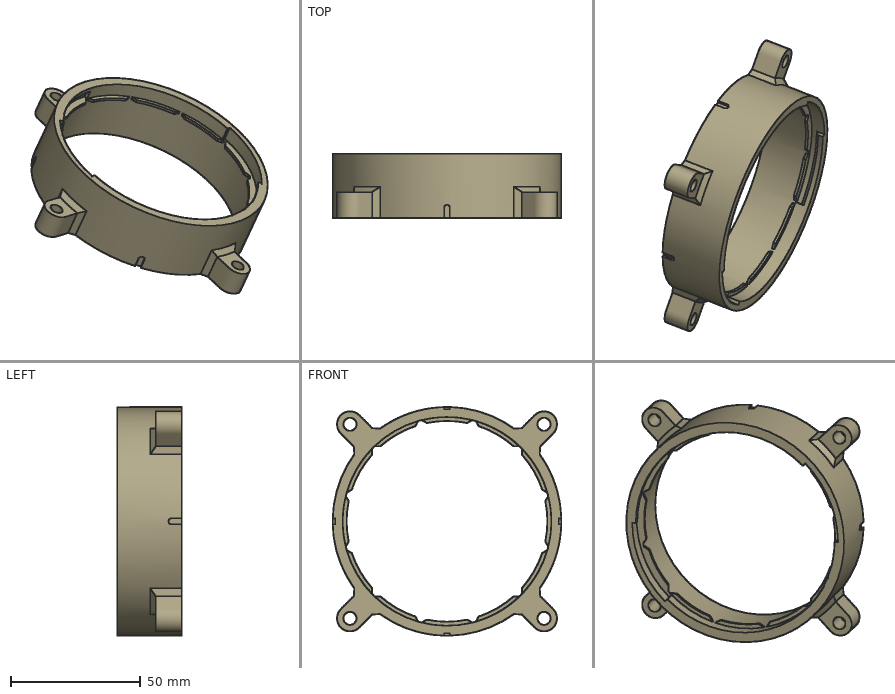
import cadquery as cq
import math

outer_radius = 44.25
inner_radius = 40.4
ring_length = 25.0
wall_middle = (inner_radius + outer_radius) / 2

lug_count = 4
lug_first_angle = 45.0
hole_spacing = 75.05
lug_radius = 5.05
lug_hole_diameter = 5.0
lug_length = 10.1
lug_root_chamfer = 2.0
hole_circle_radius = hole_spacing / math.sqrt(2)

notch_count = 4
notch_width = 2.3
notch_length = 5.1
notch_depth = 1.0

rim_radius = 38.8
rim_thickness = 1.1
rim_gap_square = 58.0
rim_square_count = 3
entry_length = 5.6
rim_back = ring_length - entry_length
rim_front = rim_back - rim_thickness

track_count = 2
track_radius = 41.8
track_depth = track_radius - inner_radius
groove_length = 3.5
entry_sweep = 47.0
groove_sweep = 45.0

cut_margin = 0.9
root_margin = 0.9


def cylinder(radius, start, end):
    """Solid cylinder along Y between two stations."""
    return cq.Workplane("XZ", origin=(0, start, 0)).circle(radius).extrude(start - end)


def around_axis(shape, count, first_angle=0.0):
    """Copies of a shape spaced evenly about Y, positive from +X toward +Z."""
    copies = cq.Workplane("XZ")
    for index in range(count):
        angle = first_angle + index * 360.0 / count
        copies = copies.add(shape.rotate((0, 0, 0), (0, 1, 0), -angle).vals())
    return copies.combine()


def make_lug():
    """Round-ended arm pointing along +X, rooted inside the ring wall."""
    arm_length = hole_circle_radius - wall_middle
    arm = (
        cq.Workplane("XZ")
        .center(wall_middle + arm_length / 2, 0)
        .rect(arm_length, 2 * lug_radius)
        .extrude(-lug_length)
    )
    boss = cq.Workplane("XZ").center(hole_circle_radius, 0).circle(lug_radius).extrude(-lug_length)
    return arm.union(boss)


def make_body():
    """Ring blank with lugs, chamfered where each lug meets the outer wall."""
    body = cylinder(outer_radius, 0, ring_length).union(around_axis(make_lug(), lug_count))
    root_zone = cq.selectors.BoxSelector(
        (outer_radius - root_margin, root_margin, -lug_radius - root_margin),
        (outer_radius + root_margin, lug_length + root_margin, lug_radius + root_margin),
    )
    for _ in range(lug_count):
        body = body.edges(root_zone).chamfer(lug_root_chamfer)
        body = body.rotate((0, 0, 0), (0, 1, 0), 360.0 / lug_count)
    return body.rotate((0, 0, 0), (0, 1, 0), -lug_first_angle)


def make_lug_hole():
    """Through hole for a lug pointing along +X."""
    return (
        cq.Workplane("XZ")
        .center(hole_circle_radius, 0)
        .circle(lug_hole_diameter / 2)
        .extrude(-lug_length)
    )


def make_notch():
    """Slot open at the front face, cut into the wall from +X."""
    straight_length = notch_length - notch_width / 2
    return (
        cq.Workplane("YZ", origin=(outer_radius - notch_depth, 0, 0))
        .moveTo(0, -notch_width / 2)
        .lineTo(straight_length, -notch_width / 2)
        .threePointArc((notch_length, 0), (straight_length, notch_width / 2))
        .lineTo(0, notch_width / 2)
        .close()
        .extrude(notch_depth + cut_margin)
    )


def make_rim():
    """Inward rim split into teeth by the corners of rotated squares."""
    rim = cylinder(wall_middle, rim_front, rim_back).cut(cylinder(rim_radius, rim_front, rim_back))
    square = (
        cq.Workplane("XZ", origin=(0, rim_front, 0))
        .rect(rim_gap_square, rim_gap_square)
        .extrude(-rim_thickness)
    )
    for index in range(rim_square_count):
        angle = index * 90.0 / rim_square_count
        rim = rim.cut(square.rotate((0, 0, 0), (0, 1, 0), angle))
    wall = cylinder(outer_radius, rim_front, rim_back).cut(cylinder(inner_radius, rim_front, rim_back))
    return rim.union(wall)


def swept_track(profile, start_angle, sweep):
    """Revolve a (radius, y) profile about Y through a sweep toward +Z."""
    solid = cq.Workplane("XY").polyline(profile).close().revolve(sweep, (0, 0, 0), (0, -1, 0))
    return solid.rotate((0, 0, 0), (0, 1, 0), -start_angle)


def make_track():
    """Entry opening to the back face, ending at +X, then a groove with a sloped back wall."""
    root = inner_radius - cut_margin
    groove_back = rim_back + groove_length
    entry = [
        (root, rim_back),
        (track_radius, rim_back),
        (track_radius, ring_length),
        (root, ring_length),
    ]
    groove = [
        (root, rim_back),
        (track_radius, rim_back),
        (track_radius, groove_back - track_depth),
        (inner_radius, groove_back),
        (root, groove_back),
    ]
    entry_cut = swept_track(entry, -entry_sweep, entry_sweep)
    groove_cut = swept_track(groove, 0, groove_sweep)
    return entry_cut.union(groove_cut)


result = (
    make_body()
    .cut(cylinder(inner_radius, 0, ring_length))
    .cut(around_axis(make_lug_hole(), lug_count, lug_first_angle))
    .cut(around_axis(make_notch(), notch_count))
    .union(make_rim())
    .cut(around_axis(make_track(), track_count))
)